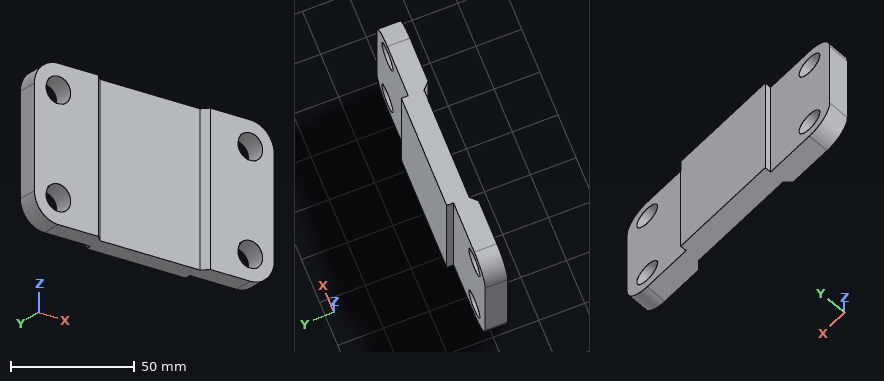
import cadquery as cq

length = 120.0
height = 72.0
plate_thickness = 10.0
corner_radius = 12.0

pad_width = 50.0
pad_rise = 3.0
channel_depth = 3.0
channel_mouth_width = pad_width + 2 * channel_depth

hole_diameter = 12.2
hole_spacing_x = length - 2 * corner_radius
hole_spacing_z = height - 2 * corner_radius

total_depth = plate_thickness + pad_rise
front_y = -total_depth / 2
plate_back_y = front_y + plate_thickness
pad_back_y = total_depth / 2
channel_floor_y = front_y + channel_depth


def profile():
    """Cross-section in the XY plane, extruded through the full height."""
    right_half = [
        (channel_mouth_width / 2, front_y),
        (length / 2, front_y),
        (length / 2, plate_back_y),
        (pad_width / 2, plate_back_y),
        (pad_width / 2, pad_back_y),
    ]
    left_half = [(-x, y) for x, y in reversed(right_half)]
    channel_floor = [(-pad_width / 2, channel_floor_y), (pad_width / 2, channel_floor_y)]
    section = cq.Workplane("XY").polyline(right_half + left_half + channel_floor).close()
    return section.extrude(height / 2, both=True)


def mounting_holes():
    return (
        cq.Workplane("XZ", origin=(0, pad_back_y, 0))
        .rarray(hole_spacing_x, hole_spacing_z, 2, 2)
        .circle(hole_diameter / 2)
        .extrude(total_depth)
    )


def round_corners(body):
    outline = (
        cq.Workplane("XZ", origin=(0, pad_back_y, 0))
        .rect(length, height)
        .extrude(total_depth)
        .edges("|Y")
        .fillet(corner_radius)
    )
    return body.intersect(outline)


result = round_corners(profile()).cut(mounting_holes())